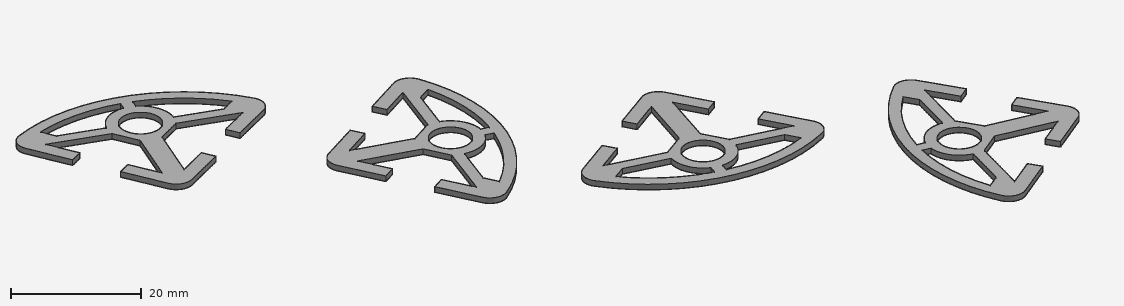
import cadquery as cq
import math


half_size = 15.0
thickness = 1.0
corner_radius = 2.75
bore_radius = 3.4
ring_radius = 5.4
slot_half_width = 4.1
lip_thickness = 2.5
slot_floor = 4.9
strut_offset = 2.5
arm_width = 2.0
rim_width = 2.0
rib_width = 1.95
rib_angle = -45
window_end = 9.4

outer_radius = 2 * half_size
rim_inner_radius = outer_radius - rim_width
lip_inner = half_size - lip_thickness
slot_floor_half = slot_floor - strut_offset
slot_back_half = lip_inner - strut_offset
arm_edge_offset = arm_width * math.sqrt(2) - strut_offset


def cylinder(radius, x=0.0, y=0.0):
    return cq.Workplane("XY").center(x, y).circle(radius).extrude(thickness)


def mirrored(shape):
    """Reflect a solid about the line y = -x."""
    flipped = shape.mirror("YZ")
    return flipped.rotate((0, 0, 0), (0, 0, 1), 90)


def make_body():
    """Quarter disc centred on the square corner, with its three corners rounded."""
    mid_arc = half_size - outer_radius / math.sqrt(2)
    return (
        cq.Workplane("XY")
        .moveTo(half_size, -half_size)
        .lineTo(half_size, half_size)
        .threePointArc((mid_arc, -mid_arc), (-half_size, -half_size))
        .close()
        .extrude(thickness)
        .edges("|Z")
        .fillet(corner_radius)
    )


def make_slot():
    """T-slot opening through the +X side."""
    upper_half = [
        (slot_floor, slot_floor_half),
        (lip_inner, slot_back_half),
        (lip_inner, slot_half_width),
        (half_size, slot_half_width),
    ]
    lower_half = [(x, -y) for x, y in reversed(upper_half)]
    return cq.Workplane("XY").polyline(upper_half + lower_half).close().extrude(thickness)


def make_windows():
    """Pair of windows between the rim, the hub and the diagonal arms, split by the rib."""
    area = (
        cq.Workplane("XY")
        .polyline([
            (0, arm_edge_offset),
            (window_end, window_end + arm_edge_offset),
            (window_end, half_size),
            (-half_size, half_size),
            (-half_size, -window_end),
            (-window_end - arm_edge_offset, -window_end),
            (-arm_edge_offset, 0),
        ])
        .close()
        .extrude(thickness)
    )
    inside_rim = cylinder(rim_inner_radius, half_size, -half_size)
    rib = (
        cq.Workplane("XY")
        .rect(2 * half_size, rib_width)
        .extrude(thickness)
        .rotate((0, 0, 0), (0, 0, 1), rib_angle)
    )
    return area.intersect(inside_rim).cut(cylinder(ring_radius)).cut(rib)


slot = make_slot()
result = (
    make_body()
    .cut(slot)
    .cut(mirrored(slot))
    .cut(make_windows())
    .cut(cylinder(bore_radius))
)